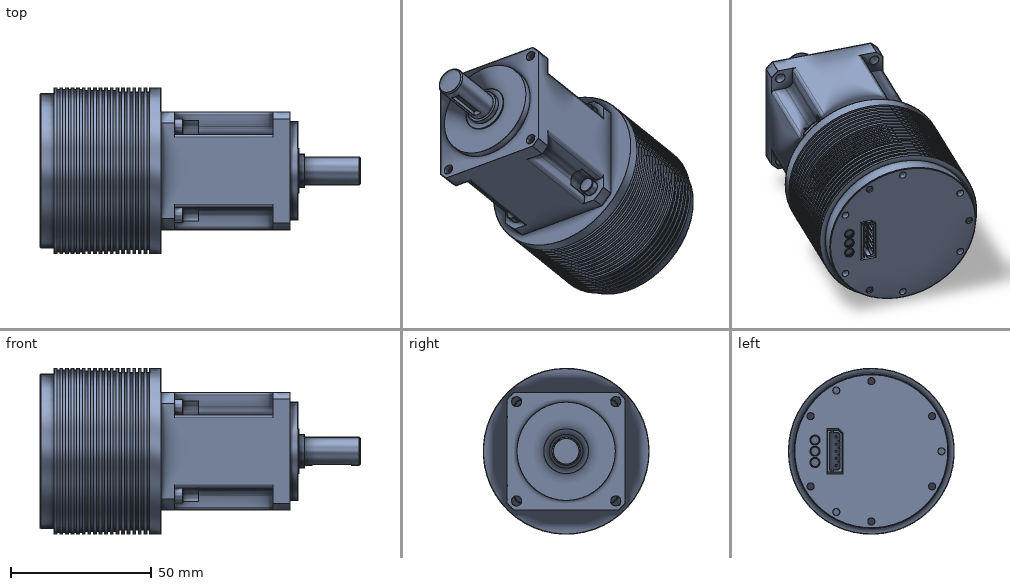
import cadquery as cq
import math


CAN_DIAMETER = 59.0
CAP_DIAMETER = 55.0
CAP_END = 5.0
CAP_CHAMFER = 0.2
FLANGE_START = 39.0
CAN_END = 43.0
GROOVE_DIAMETERS = [58.0] * 5 + [57.1] * 6 + [56.0] * 6
GROOVE_PITCH = (FLANGE_START - CAP_END) / len(GROOVE_DIAMETERS)
GROOVE_WIDTH = GROOVE_PITCH / 2

CAP_HOLE_DIAMETER = 2.5
CAP_HOLE_RADIUS = 25.0
DEEP_HOLE_DEPTH = 5.0
DEEP_HOLE_ANGLES = [30, 90, 150, 210, 270, 330]
SHALLOW_HOLE_DEPTH = 0.9
SHALLOW_HOLE_ANGLES = [0, 120, 240]

LAMP_DIAMETER = 3.0
LAMP_RIM_DIAMETER = 3.5
LAMP_RIM_DEPTH = 0.3
LAMP_DEPTH = 1.0
LAMP_PITCH = 4.0
LAMP_Y = 20.1

RECESS_WIDTH = 5.7
RECESS_HEIGHT = 16.2
RECESS_CORNER_CUT = 1.6
RECESS_DEPTH = 8.0
CONNECTOR_Y = 13.0
CONNECTOR_WIDTH = 5.1
CONNECTOR_HEIGHT = 14.8
CONNECTOR_CORNER_CUT = 1.3
CAVITY_DEPTH = 5.7
CAVITY_HEIGHT = 13.5
CAVITY_WALL = 0.7
CAVITY_CORNER_CUT = 0.8
RIB_BASE = 0.6
RIB_HEIGHT = 0.7
PIN_COUNT = 5
PIN_PITCH = 2.5
PIN_DIAMETER = 0.7
PIN_LENGTH = 3.4
PIN_Y = 12.5
SLIT_WIDTH = 0.9
SLIT_Y = 13.9

BLOCK_SIZE = 42.0
BLOCK_END = 89.0
CORNER_ANGLES = [0, 90, 180, 270]
REAR_CORNER_DIAMETER = 54.0
FRONT_CORNER_DIAMETER = 56.0

POCKET_START = 47.8
POCKET_END = 82.9
POCKET_FLOOR = 13.0
POCKET_LIP_RADIUS = 1.0

SCREW_OFFSET = 15.7
HEAD_DIAMETER = 5.5
HEAD_LENGTH = 3.1
HEAD_CHAMFER = 0.2
CLEARANCE_DIAMETER = 7.0
CLEARANCE_LENGTH = 8.7
MOUNT_HOLE_DIAMETER = 3.5
MOUNT_HOLE_OFFSET = 17.7

PILOT_DIAMETER = 35.0
PILOT_END = 91.8
SEAL_DIAMETER = 16.0
SEAL_END = 92.2
COLLAR_DIAMETER = 12.0
COLLAR_END = 94.0
SHAFT_DIAMETER = 10.0
SHAFT_END = 114.0
SHAFT_CHAMFER = 0.5
KEYWAY_WIDTH = 3.0
KEYWAY_DEPTH = 1.8
KEYWAY_START = 96.8
KEYWAY_END = 110.8


def cylinder(diameter, start, end, y=0.0, z=0.0):
    """Cylinder parallel to X."""
    return cq.Workplane("YZ", origin=(start, y, z)).circle(diameter / 2).extrude(end - start)


def box(start, end, width, height, y=0.0, z=0.0):
    """Box whose section is centred on (y, z)."""
    return cq.Workplane("YZ", origin=(start, y, z)).rect(width, height).extrude(end - start)


def keyed_box(start, end, width, height, corner_cut):
    """Connector-shaped box with its -Y, +Z corner cut off."""
    section = box(start, end, width, height, CONNECTOR_Y)
    return section.edges("|X").edges("<Y").edges(">Z").chamfer(corner_cut)


def pin_heights():
    return [(i - (PIN_COUNT - 1) / 2) * PIN_PITCH for i in range(PIN_COUNT)]


def rib_heights():
    """Heights midway between neighbouring pins."""
    return [z + PIN_PITCH / 2 for z in pin_heights()[:-1]]


def make_can():
    can = cylinder(CAP_DIAMETER, 0, CAP_END).faces("<X").chamfer(CAP_CHAMFER)
    can = can.union(cylinder(CAN_DIAMETER, CAP_END, CAN_END))
    for i, diameter in enumerate(GROOVE_DIAMETERS):
        end = CAP_END + (i + 1) * GROOVE_PITCH
        start = end - GROOVE_WIDTH
        can = can.cut(cylinder(CAN_DIAMETER, start, end).cut(cylinder(diameter, start, end)))
    return can


def cut_cap_holes(can, angles, depth):
    for angle in angles:
        y = -CAP_HOLE_RADIUS * math.cos(math.radians(angle))
        z = CAP_HOLE_RADIUS * math.sin(math.radians(angle))
        can = can.cut(cylinder(CAP_HOLE_DIAMETER, 0, depth, y, z))
    return can


def cut_lamps(can):
    for i in (-1, 0, 1):
        z = i * LAMP_PITCH
        can = can.cut(cylinder(LAMP_RIM_DIAMETER, 0, LAMP_RIM_DEPTH, LAMP_Y, z))
        can = can.cut(cylinder(LAMP_DIAMETER, LAMP_RIM_DEPTH, LAMP_DEPTH, LAMP_Y, z))
    return can


def pocket_cutter():
    """Pocket along the +Y, +Z block edge, with a round inner corner and rounded lips."""
    side = BLOCK_SIZE / 2
    outside = side + POCKET_LIP_RADIUS
    lip = side - POCKET_LIP_RADIUS
    lip_edge = POCKET_FLOOR - POCKET_LIP_RADIUS
    lip_mid = lip + POCKET_LIP_RADIUS * math.sqrt(0.5)
    lip_edge_mid = lip_edge + POCKET_LIP_RADIUS * math.sqrt(0.5)
    corner_mid = SCREW_OFFSET - (SCREW_OFFSET - POCKET_FLOOR) * math.sqrt(0.5)
    return (
        cq.Workplane("YZ", origin=(POCKET_START, 0, 0))
        .moveTo(outside, lip_edge)
        .lineTo(side, lip_edge)
        .threePointArc((lip_mid, lip_edge_mid), (lip, POCKET_FLOOR))
        .lineTo(SCREW_OFFSET, POCKET_FLOOR)
        .threePointArc((corner_mid, corner_mid), (POCKET_FLOOR, SCREW_OFFSET))
        .lineTo(POCKET_FLOOR, lip)
        .threePointArc((lip_edge_mid, lip_mid), (lip_edge, side))
        .lineTo(lip_edge, outside)
        .lineTo(outside, outside)
        .close()
        .extrude(POCKET_END - POCKET_START)
    )


def make_block():
    rear = box(CAN_END, POCKET_START, BLOCK_SIZE, BLOCK_SIZE)
    rear = rear.intersect(cylinder(REAR_CORNER_DIAMETER, CAN_END, POCKET_START))
    front = box(POCKET_START, BLOCK_END, BLOCK_SIZE, BLOCK_SIZE)
    front = front.intersect(cylinder(FRONT_CORNER_DIAMETER, POCKET_START, BLOCK_END))

    at_screw = (SCREW_OFFSET, SCREW_OFFSET)
    at_mount = (MOUNT_HOLE_OFFSET, MOUNT_HOLE_OFFSET)
    clearance_end = POCKET_START + CLEARANCE_LENGTH
    head_end = POCKET_START + HEAD_LENGTH
    cutter = pocket_cutter()
    cutter = cutter.union(cylinder(CLEARANCE_DIAMETER, POCKET_START, clearance_end, *at_screw))
    cutter = cutter.union(cylinder(MOUNT_HOLE_DIAMETER, POCKET_END, BLOCK_END, *at_mount))
    head = cylinder(HEAD_DIAMETER, POCKET_START, head_end, *at_screw).faces(">X").chamfer(HEAD_CHAMFER)

    for angle in CORNER_ANGLES:
        front = front.cut(cutter.rotate((0, 0, 0), (1, 0, 0), angle))
    block = rear.union(front)
    for angle in CORNER_ANGLES:
        block = block.union(head.rotate((0, 0, 0), (1, 0, 0), angle))
    return block


def make_output():
    output = cylinder(PILOT_DIAMETER, BLOCK_END, PILOT_END)
    output = output.union(cylinder(SEAL_DIAMETER, PILOT_END, SEAL_END))
    output = output.union(cylinder(COLLAR_DIAMETER, SEAL_END, COLLAR_END))
    shaft = cylinder(SHAFT_DIAMETER, COLLAR_END, SHAFT_END).faces(">X").chamfer(SHAFT_CHAMFER)
    keyway_z = (KEYWAY_DEPTH - SHAFT_DIAMETER) / 2
    keyway = box(KEYWAY_START, KEYWAY_END, KEYWAY_WIDTH, KEYWAY_DEPTH, z=keyway_z)
    return output.union(shaft.cut(keyway))


def make_motor():
    can = make_can()
    can = cut_cap_holes(can, DEEP_HOLE_ANGLES, DEEP_HOLE_DEPTH)
    can = cut_cap_holes(can, SHALLOW_HOLE_ANGLES, SHALLOW_HOLE_DEPTH)
    can = cut_lamps(can)
    can = can.cut(keyed_box(0, RECESS_DEPTH, RECESS_WIDTH, RECESS_HEIGHT, RECESS_CORNER_CUT))
    return can.union(make_block()).union(make_output())


def make_connector():
    body = keyed_box(0, RECESS_DEPTH, CONNECTOR_WIDTH, CONNECTOR_HEIGHT, CONNECTOR_CORNER_CUT)
    cavity_far_y = CONNECTOR_Y + CONNECTOR_WIDTH / 2 - CAVITY_WALL
    cavity_near_y = CONNECTOR_Y - CONNECTOR_WIDTH / 2 + CAVITY_WALL
    cavity_width = cavity_far_y - cavity_near_y
    cavity = box(0, CAVITY_DEPTH, cavity_width, CAVITY_HEIGHT, cavity_near_y + cavity_width / 2)
    cavity = cavity.edges("|X").edges("<Y").chamfer(CAVITY_CORNER_CUT)
    for z in rib_heights():
        rib = (
            cq.Workplane("YZ")
            .moveTo(cavity_near_y, z - RIB_BASE / 2)
            .lineTo(cavity_near_y + RIB_HEIGHT, z)
            .lineTo(cavity_near_y, z + RIB_BASE / 2)
            .close()
            .extrude(CAVITY_DEPTH)
        )
        cavity = cavity.cut(rib)
    body = body.cut(cavity)
    body = body.cut(box(0, CAVITY_DEPTH, SLIT_WIDTH, CONNECTOR_HEIGHT, SLIT_Y))
    for z in pin_heights():
        body = body.union(cylinder(PIN_DIAMETER, CAVITY_DEPTH - PIN_LENGTH, CAVITY_DEPTH, PIN_Y, z))
    return body


motor = make_motor()
connector = make_connector()
result = cq.Compound.makeCompound([motor.val(), connector.val()])